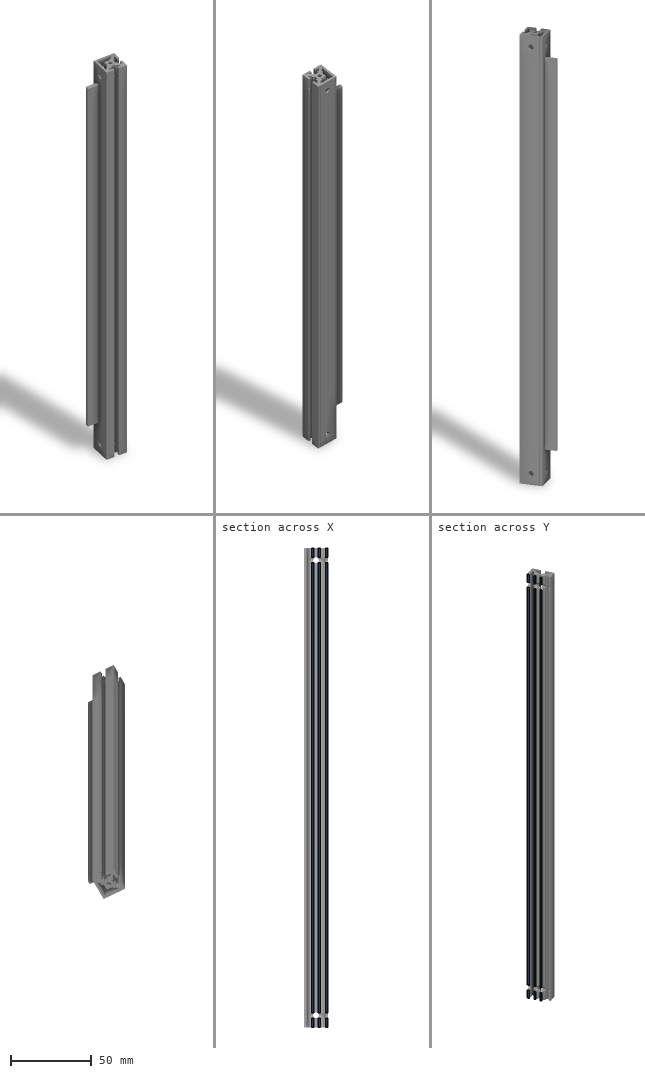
import cadquery as cq

LENGTH = 297.0
CHANNEL_WIDTH = 2.52
FLANK_WIDTH = 6.2
SIDE = CHANNEL_WIDTH + 2 * FLANK_WIDTH
HALF = SIDE / 2

WALL = 1.55
SHOULDER_DEPTH = 3.5
FLOOR_DEPTH = 4.8
OPENING_WIDTH = 3.3
CAVITY_WIDTH = 9.0
SHOULDER_WIDTH = 5.5
BORE_DIAMETER = 2.82

GROOVE_WIDTH = 1.0
GROOVE_EDGE_OFFSET = 1.07
GROOVE_DEPTH = 0.15

HOLE_DIAMETER = 3.5
HOLE_END_DISTANCE = 7.5

RAIL_WIDTH = 2.7
RAIL_HEIGHT = 8.0
RAIL_CENTER_X = -2.75
RAIL_TOP_GAP = 14.8
RAIL_BOTTOM_GAP = 23.2
RAIL_ROUNDING = 0.68


def bar_prism(x_min, x_max, y_min, y_max):
    """Rectangular prism running the full length of the bar."""
    prism = cq.Workplane("XY").box(x_max - x_min, y_max - y_min, LENGTH)
    return prism.translate(((x_min + x_max) / 2, (y_min + y_max) / 2, 0))


def turned(shape, angle):
    """The shape turned about the bar axis."""
    return shape.rotate((0, 0, 0), (0, 0, 1), angle)


def slot_cavity():
    """Tapered cavity with a narrow channel, behind the +Y wall."""
    wall_y = HALF - WALL
    shoulder_y = HALF - SHOULDER_DEPTH
    floor_y = HALF - FLOOR_DEPTH
    right_half = [
        (CAVITY_WIDTH / 2, wall_y),
        (SHOULDER_WIDTH / 2, shoulder_y),
        (CHANNEL_WIDTH / 2, shoulder_y),
        (CHANNEL_WIDTH / 2, floor_y),
    ]
    left_half = [(-x, y) for x, y in reversed(right_half)]
    return cq.Workplane("XY").polyline(right_half + left_half).close().extrude(LENGTH / 2, both=True)


def slot_opening():
    """Gap through the +Y wall into the cavity behind it."""
    return bar_prism(-OPENING_WIDTH / 2, OPENING_WIDTH / 2, HALF - WALL, HALF)


def extrusion():
    """Bar with open slots on +Y and +X and a closed L-shaped hollow along -X and -Y."""
    bar = bar_prism(-HALF, HALF, -HALF, HALF)
    for angle in (0, 90, 180, 270):
        bar = bar.cut(turned(slot_cavity(), angle))
    for angle in (0, 270):
        bar = bar.cut(turned(slot_opening(), angle))

    wall_inside = -HALF + WALL
    core_side = -HALF + FLOOR_DEPTH
    bar = bar.cut(bar_prism(wall_inside, core_side, wall_inside, 0))
    bar = bar.cut(bar_prism(wall_inside, 0, wall_inside, core_side))

    bore = cq.Workplane("XY").circle(BORE_DIAMETER / 2).extrude(LENGTH / 2, both=True)
    return bar.cut(bore)


def side_grooves():
    """Two shallow grooves in the -X face, one beside each edge."""
    outer = HALF - GROOVE_EDGE_OFFSET
    groove = bar_prism(-HALF, -HALF + GROOVE_DEPTH, outer - GROOVE_WIDTH, outer)
    return groove.union(groove.mirror("XZ"))


def cross_holes(plane):
    """Pair of through holes near the bar ends, drilled square to the plane."""
    height = LENGTH / 2 - HOLE_END_DISTANCE
    centers = [(0, height), (0, -height)]
    return cq.Workplane(plane).pushPoints(centers).circle(HOLE_DIAMETER / 2).extrude(HALF, both=True)


def rail():
    """Rail with rounded long edges, standing on the -Y face."""
    length = LENGTH - RAIL_TOP_GAP - RAIL_BOTTOM_GAP
    center = (RAIL_CENTER_X, -HALF - RAIL_HEIGHT / 2, (RAIL_BOTTOM_GAP - RAIL_TOP_GAP) / 2)
    bar = cq.Workplane("XY").box(RAIL_WIDTH, RAIL_HEIGHT, length)
    return bar.edges("|Z").fillet(RAIL_ROUNDING).translate(center)


result = (
    extrusion()
    .cut(side_grooves())
    .cut(cross_holes("XZ"))
    .cut(cross_holes("YZ"))
    .union(rail())
)